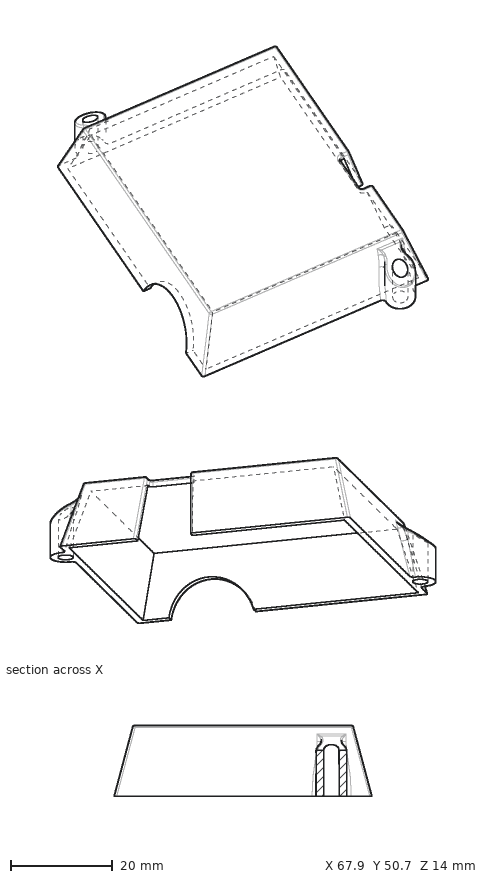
import cadquery as cq
import math

base_length = 59.85
base_depth = 50.7
height = 14.0
draft_angle = 15
wall = 1.5
edge_radius = 0.5

overall_length = 67.85
lug_radius = 3.05
hole_radius = 1.5
lug_x = overall_length / 2 - lug_radius
left_lug_y = -17.4
right_lug_y = 18.3
lug_tip_height = 7.0
lug_slope_angle = 35
neck_half_width = 2.05
neck_blend_radius = 2.05
neck_inner_x = 25.1
lug_wall_fillet = 0.8
lug_rim_fillet = 0.35

arch_x = 14.3
arch_width = 17.45
arch_height = 7.0

notch_x = 8.6
notch_base_half_width = 5.6
notch_top_half_width = 4.5
notch_depth = 6.2
notch_corner_radius = 0.55

draft_run = math.tan(math.radians(draft_angle))
lug_slope = math.tan(math.radians(lug_slope_angle))

tolerance = 0.001
sample_places = (0, 0.3, 0.5, 0.8, 1)


def tapered_block(length, depth, block_height):
    return cq.Workplane("XY").rect(length, depth).extrude(block_height, taper=draft_angle)


def lug_blank():
    """Right-hand lug about Y = 0: a post with a blended neck and a sloping top."""
    blend_y = neck_half_width + neck_blend_radius
    center_distance = lug_radius + neck_blend_radius
    blend_x = lug_x - math.sqrt(center_distance**2 - blend_y**2)
    share = lug_radius / center_distance
    touch_x = lug_x + (blend_x - lug_x) * share
    touch_y = blend_y * share
    blend_angle = -(math.pi / 2 + math.asin(blend_y / center_distance)) / 2
    mid_x = blend_x + neck_blend_radius * math.cos(blend_angle)
    mid_y = blend_y + neck_blend_radius * math.sin(blend_angle)

    post = (
        cq.Workplane("XY")
        .moveTo(neck_inner_x, -neck_half_width)
        .lineTo(blend_x, -neck_half_width)
        .threePointArc((mid_x, -mid_y), (touch_x, -touch_y))
        .threePointArc((lug_x + lug_radius, 0), (touch_x, touch_y))
        .threePointArc((mid_x, mid_y), (blend_x, neck_half_width))
        .lineTo(neck_inner_x, neck_half_width)
        .close()
        .extrude(height)
    )
    tip_x = lug_x + lug_radius
    slope_rise = (tip_x - neck_inner_x) * lug_slope
    side_profile = (
        cq.Workplane("XZ")
        .moveTo(neck_inner_x, 0)
        .lineTo(tip_x, 0)
        .lineTo(tip_x, lug_tip_height)
        .lineTo(neck_inner_x, lug_tip_height + slope_rise)
        .close()
        .extrude(lug_radius, both=True)
    )
    return post.intersect(side_profile)


def is_lug_root(edge):
    """True for the edges where a lug meets the sloping side wall."""
    for place in sample_places:
        point = edge.positionAt(place)
        wall_x = base_length / 2 - point.z * draft_run
        if abs(abs(point.x) - wall_x) > tolerance:
            return False
        if min(abs(point.y - left_lug_y), abs(point.y - right_lug_y)) > lug_radius + tolerance:
            return False
    return True


def is_lug_rim(edge):
    """True for the outer edges of the sloping lug tops."""
    for place in sample_places:
        point = edge.positionAt(place)
        slope_z = lug_tip_height + (overall_length / 2 - abs(point.x)) * lug_slope
        if abs(point.z - slope_z) > tolerance:
            return False
    return not is_lug_root(edge)


def fillet_where(body, test, radius):
    edges = [edge for edge in body.edges().vals() if test(edge)]
    return body.newObject(edges).fillet(radius)


def notch_cutter():
    rear = base_depth / 2
    cutter = (
        cq.Workplane("XZ", origin=(notch_x, rear - notch_depth, 0))
        .moveTo(-notch_base_half_width, 0)
        .lineTo(notch_base_half_width, 0)
        .lineTo(notch_top_half_width, height)
        .lineTo(-notch_top_half_width, height)
        .close()
        .extrude(-2 * notch_depth)
    )
    return cutter.faces("<Y").edges("not |X").fillet(notch_corner_radius)


def arch_cutter():
    radius = ((arch_width / 2) ** 2 + arch_height**2) / (2 * arch_height)
    return (
        cq.Workplane("XZ", origin=(arch_x, 0, arch_height - radius))
        .circle(radius)
        .extrude(base_depth)
    )


def is_outer_edge(edge):
    """True for the top rim, the sloping corners and the outer notch edges."""
    middle = edge.positionAt(0.5)
    if middle.z > height - tolerance:
        return True
    on_rear = abs(middle.y - (base_depth / 2 - middle.z * draft_run)) < tolerance
    on_front = abs(middle.y + base_depth / 2 - middle.z * draft_run) < tolerance
    return (on_rear or on_front) and middle.z > tolerance


lug = lug_blank()
outside = tapered_block(base_length, base_depth, height).cut(notch_cutter())
outside = fillet_where(outside, is_outer_edge, edge_radius)
outside = outside.union(lug.translate((0, right_lug_y, 0)))
outside = outside.union(lug.rotate((0, 0, 0), (0, 0, 1), 180).translate((0, left_lug_y, 0)))
outside = fillet_where(outside, is_lug_root, lug_wall_fillet)
outside = fillet_where(outside, is_lug_rim, lug_rim_fillet)

wall_at_base = wall / math.cos(math.radians(draft_angle))
cavity = tapered_block(base_length - 2 * wall_at_base, base_depth - 2 * wall_at_base, height - wall)
result = outside.cut(cavity).cut(arch_cutter())

hole_centers = [(-lug_x, left_lug_y), (lug_x, right_lug_y)]
result = result.cut(cq.Workplane("XY").pushPoints(hole_centers).circle(hole_radius).extrude(height))